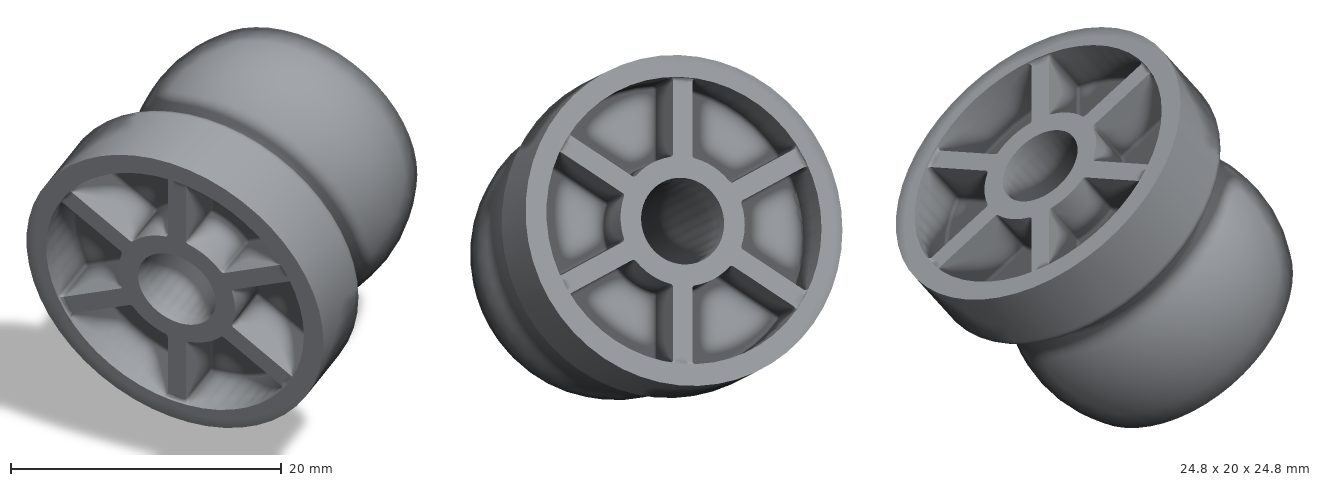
import cadquery as cq
import math


flange_diameter = 24.77
flange_thickness = 6.15
flange_edge_radius = 0.8

neck_radius = 8.77
neck_fillet_radius = 0.37

ball_radius = 10.73
ball_center_y = 15.43
total_length = 20.0

bore_radius = 3.25
bore_far_radius = 3.17

hollow_radius = 10.75
hollow_depth = 4.3
hub_radius = 4.85
rib_count = 6
rib_thickness = 1.5
rib_recess = 0.3
hollow_fillet_radius = 0.25

tolerance = 0.002

neck_end_y = ball_center_y - math.sqrt(ball_radius**2 - neck_radius**2)
ball_end_radius = math.sqrt(ball_radius**2 - (total_length - ball_center_y)**2)


def disc(radius, start_y, end_y):
    """Cylinder about the Y axis between two Y positions."""
    return cq.Workplane("XZ", origin=(0, start_y, 0)).circle(radius).extrude(start_y - end_y)


def make_body():
    """Join the flange, neck and truncated ball and round the edges between them."""
    flange = disc(flange_diameter / 2, 0, flange_thickness)
    flange = flange.faces(">Y").edges().fillet(flange_edge_radius)
    neck_and_ball = (
        cq.Workplane("XY")
        .lineTo(neck_radius, 0)
        .lineTo(neck_radius, neck_end_y)
        .threePointArc((ball_radius, ball_center_y), (ball_end_radius, total_length))
        .lineTo(0, total_length)
        .close()
        .revolve(360, (0, 0, 0), (0, 1, 0))
    )
    body = flange.union(neck_and_ball)
    neck_ends = body.edges("%CIRCLE").filter(lambda edge: abs(edge.radius() - neck_radius) < tolerance)
    return neck_ends.fillet(neck_fillet_radius)


def make_hollow():
    """Space inside the rim: a hollow disc less the hub and the ribs, with rounded inner corners."""
    hub_and_ribs = disc(hub_radius, rib_recess, hollow_depth)
    rib_height = hollow_depth - rib_recess
    for index in range(rib_count):
        rib = (
            cq.Workplane("XY")
            .box(rib_thickness, rib_height, flange_diameter / 2, centered=(True, False, False))
            .translate((0, rib_recess, 0))
            .rotate((0, 0, 0), (0, 1, 0), index * 360 / rib_count)
        )
        hub_and_ribs = hub_and_ribs.union(rib)
    hollow = disc(hollow_radius, 0, hollow_depth).cut(hub_and_ribs)

    def is_inner_corner(edge):
        center = edge.Center()
        on_open_face = abs(center.y) < tolerance
        on_rib_top = abs(center.y - rib_recess) < tolerance
        on_wall = edge.geomType() == "CIRCLE" and abs(edge.radius() - hollow_radius) < tolerance
        return not on_open_face and (on_wall or not on_rib_top)

    return hollow.edges().filter(is_inner_corner).fillet(hollow_fillet_radius)


def make_bore():
    """Tapered round hole through the full length."""
    return (
        cq.Workplane("XY")
        .lineTo(bore_radius, 0)
        .lineTo(bore_far_radius, total_length)
        .lineTo(0, total_length)
        .close()
        .revolve(360, (0, 0, 0), (0, 1, 0))
    )


result = make_body().cut(make_hollow()).cut(make_bore())